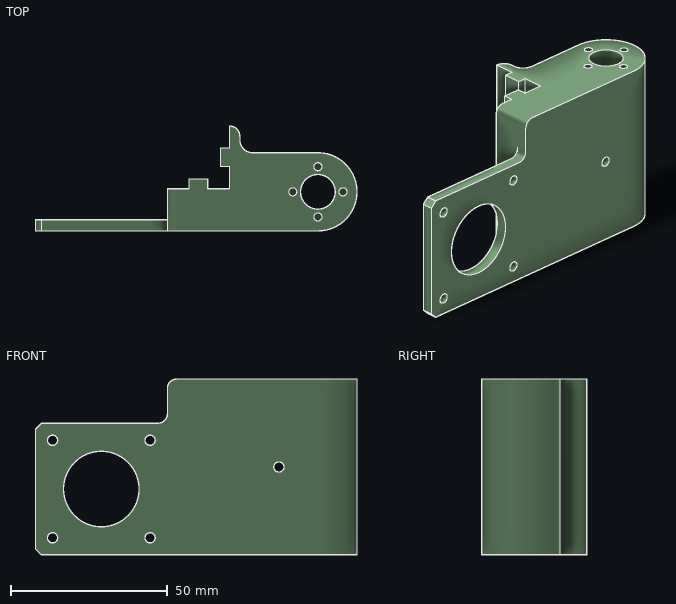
import cadquery as cq
import math

length = 102.5
depth = 33.5
height = 56.0

plate_thickness = 3.7
plate_height = 42.0
plate_chamfer = 1.9
motor_x = plate_height / 2
motor_z = plate_height / 2
motor_bore_diameter = 24.0
motor_screw_spacing = 31.0
screw_diameter = 3.2

body_left = plate_height
body_width = 25.0
end_radius = body_width / 2
end_x = length - end_radius
ledge_y = 13.5
wall_x = 61.8
key_width = 6.0
ledge_key_x = 48.9
ledge_key_height = 3.1
wall_key_y = 20.5
wall_key_height = 2.9
fin_thickness = 3.4
fin_x = wall_x + fin_thickness
fin_fillet = 4.0
corner_radius = 3.0

bore_diameter = 11.0
pin_diameter = 2.6
pin_circle_radius = 8.0
pin_count = 4
pin_depth = 10.2
cross_hole_x = 77.6
cross_hole_z = height / 2


def make_body():
    """Rounded arm with a keyed inside corner and an upright fin."""
    diagonal = math.sqrt(0.5)
    fin_mid = (
        wall_x + fin_thickness * diagonal,
        depth - fin_thickness * (1 - diagonal),
    )
    fillet_mid = (
        fin_x + fin_fillet * (1 - diagonal),
        body_width + fin_fillet * (1 - diagonal),
    )
    profile = (
        cq.Workplane("XY")
        .moveTo(body_left, 0)
        .lineTo(end_x, 0)
        .threePointArc((length, end_radius), (end_x, body_width))
        .lineTo(fin_x + fin_fillet, body_width)
        .threePointArc(fillet_mid, (fin_x, body_width + fin_fillet))
        .lineTo(fin_x, depth - fin_thickness)
        .threePointArc(fin_mid, (wall_x, depth))
        .lineTo(wall_x, wall_key_y + key_width)
        .lineTo(wall_x - wall_key_height, wall_key_y + key_width)
        .lineTo(wall_x - wall_key_height, wall_key_y)
        .lineTo(wall_x, wall_key_y)
        .lineTo(wall_x, ledge_y)
        .lineTo(ledge_key_x + key_width, ledge_y)
        .lineTo(ledge_key_x + key_width, ledge_y + ledge_key_height)
        .lineTo(ledge_key_x, ledge_y + ledge_key_height)
        .lineTo(ledge_key_x, ledge_y)
        .lineTo(body_left, ledge_y)
        .close()
    )
    body = profile.extrude(height)
    top_left_edge = cq.selectors.NearestToPointSelector((body_left, ledge_y / 2, height))
    return body.edges(top_left_edge).fillet(corner_radius)


def make_plate():
    """Motor plate with chamfered free corners, overlapping the body."""
    return (
        cq.Workplane("XY")
        .box(wall_x, plate_thickness, plate_height, centered=False)
        .edges("|Y and <X")
        .chamfer(plate_chamfer)
    )


def round_inner_corner(part):
    """Fill the corner where the plate's top edge meets the body."""
    corner = cq.selectors.NearestToPointSelector((body_left, plate_thickness / 2, plate_height))
    return part.edges(corner).fillet(corner_radius)


def hole_along_y(x, z, diameter):
    """Cutter passing through the full depth of the part."""
    return cq.Workplane("XZ").center(x, z).circle(diameter / 2).extrude(-depth)


def cut_motor_holes(part):
    part = part.cut(hole_along_y(motor_x, motor_z, motor_bore_diameter))
    half_spacing = motor_screw_spacing / 2
    for x_side in (-1, 1):
        for z_side in (-1, 1):
            x = motor_x + x_side * half_spacing
            z = motor_z + z_side * half_spacing
            part = part.cut(hole_along_y(x, z, screw_diameter))
    return part


def cut_body_holes(part):
    part = part.cut(hole_along_y(cross_hole_x, cross_hole_z, screw_diameter))
    bore = cq.Workplane("XY").center(end_x, end_radius).circle(bore_diameter / 2).extrude(height)
    pins = (
        cq.Workplane("XY", origin=(end_x, end_radius, height))
        .polarArray(pin_circle_radius, 0, 360, pin_count)
        .circle(pin_diameter / 2)
        .extrude(-pin_depth)
    )
    return part.cut(bore).cut(pins)


bracket = round_inner_corner(make_body().union(make_plate()))
result = cut_body_holes(cut_motor_holes(bracket))